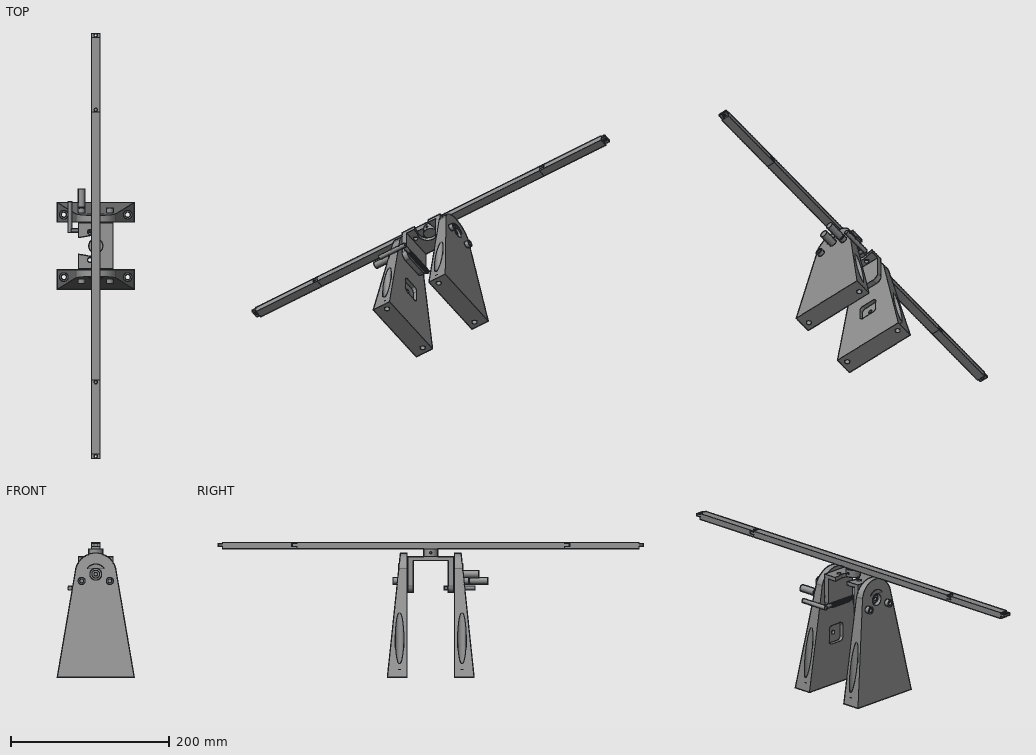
import cadquery as cq
import math

BASE_WIDTH = 97.7
BASE_INNER_Y = 30.0
BASE_OUTER_Y = 55.0
OUTER_SLOPE = 6.0
PIVOT_Z = 130.5
STAND_TOP_Z = 157.3
SHOULDER_X = 25.3
SHOULDER_Z = 138.0

PIVOT_BOSS_DIA = 25.9
PIVOT_BOSS_FACE_Y = 40.5
AXLE_DIA = 9.9
RECESS_DIA = 15.0
RECESS_FLOOR_Y = 35.5

STUD_DIA = 9.0
STUD_X = 17.8
STUD_Z = 122.0
STUD_END_Y = 47.8
STUD_BORE_DIA = 5.0

MOUNT_X = 40.4
MOUNT_Y = 39.5
MOUNT_BORE_DIA = 11.0
MOUNT_HOLE_DIA = 6.5
MOUNT_FLOOR_Z = 10.0

POCKET_SIZE = 25.0
POCKET_Z = 67.0
POCKET_DEPTH = 5.0
POCKET_CORNER = 5.0
POCKET_HOLE_DIA = 5.1
POCKET_HOLE_DEPTH = 5.0

YOKE_WIDTH = 43.8
YOKE_OUTER_Y = 29.0
YOKE_INNER_Y = 22.0
YOKE_TOP_Z = 152.8
YOKE_PLATE = 5.0
YOKE_BOTTOM_Z = 107.4
YOKE_LEG_CORNER = 8.0
AXLE_LONG_END_Y = 60.8
AXLE_SHORT_END_Y = -38.5
AXLE_SOCKET_DIA = 4.5
AXLE_SOCKET_DEPTH = 4.0
NOTCH_DIA = 25.9
NOTCH_X = -7.5
NOTCH_MOUTH = 20.8
NOTCH_LIP_X = -16.5
NOTCH_LIP_Y = 11.2
YOKE_HOLE_DIA = 5.6
YOKE_HOLE_Y = 17.8

BAR_LENGTH = 538.1
BAR_WIDTH = 11.0
BAR_HEIGHT = 8.0
BAR_TOP_Z = 170.64
BAR_BOTTOM_Z = BAR_TOP_Z - BAR_HEIGHT
JOINT_Y = 169.5
TONGUE_LENGTH = 5.5
TONGUE_HEIGHT = 3.2
TONGUE_COVER = 1.6
TONGUE_TOP_Z = BAR_TOP_Z - TONGUE_COVER
TONGUE_BOTTOM_Z = TONGUE_TOP_Z - TONGUE_HEIGHT
TONGUE_HOLE_DIA = 4.0
TONGUE_HOLE_OFFSET = 2.8
SLOT_DEPTH = 6.5
HUB_DIA = 18.0
HUB_CROSS_HOLE_DIA = 2.5

GRIP_DIA = 5.6
GRIP_X = -32.6
GRIP_START_Y = 16.8
GRIP_END_Y = 56.0
SHANK_DIA = 5.0
SHANK_Y = YOKE_INNER_Y - SHANK_DIA / 2
SHANK_Z = 113.0
SHANK_END_X = YOKE_WIDTH / 2
GROOVE_START_X = -20.0
GROOVE_PITCH = 3.0
GROOVE_WIDTH = 1.0
GROOVE_ROOT_DIA = 4.0
GROOVE_COUNT = 14

LOCK_HEAD_DIA = STUD_DIA
LOCK_HEAD_START_Y = 49.2
LOCK_HEAD_END_Y = 72.2


def cylinder_y(x, z, start_y, end_y, diameter):
    """Cylinder along +Y from start_y to end_y."""
    axis = cq.Vector(0, 1, 0)
    solid = cq.Solid.makeCylinder(diameter / 2, end_y - start_y, cq.Vector(x, start_y, z), axis)
    return cq.Workplane(obj=solid)


def cylinder_z(x, y, bottom_z, top_z, diameter):
    """Cylinder along +Z from bottom_z to top_z."""
    axis = cq.Vector(0, 0, 1)
    solid = cq.Solid.makeCylinder(diameter / 2, top_z - bottom_z, cq.Vector(x, y, bottom_z), axis)
    return cq.Workplane(obj=solid)


def cylinder_x(y, z, start_x, end_x, diameter):
    """Cylinder along +X from start_x to end_x."""
    axis = cq.Vector(1, 0, 0)
    solid = cq.Solid.makeCylinder(diameter / 2, end_x - start_x, cq.Vector(start_x, y, z), axis)
    return cq.Workplane(obj=solid)


def block(width, start_y, end_y, bottom_z, top_z):
    """Box centred on X = 0 between the given Y and Z limits."""
    size = (width, end_y - start_y, top_z - bottom_z)
    centre = (0, (start_y + end_y) / 2, (bottom_z + top_z) / 2)
    return cq.Workplane("XY").box(*size).translate(centre)


def stand_blank():
    """Upright with straight tapered sides, a round crown and a leaning outer face."""
    half_base = BASE_WIDTH / 2
    front = (
        cq.Workplane("XZ", origin=(0, BASE_INNER_Y, 0))
        .moveTo(-half_base, 0)
        .lineTo(half_base, 0)
        .lineTo(SHOULDER_X, SHOULDER_Z)
        .threePointArc((0, STAND_TOP_Z), (-SHOULDER_X, SHOULDER_Z))
        .close()
        .extrude(BASE_INNER_Y - BASE_OUTER_Y)
    )
    outer_y_at_top = BASE_OUTER_Y - STAND_TOP_Z * math.tan(math.radians(OUTER_SLOPE))
    side = (
        cq.Workplane("YZ")
        .moveTo(BASE_INNER_Y, 0)
        .lineTo(BASE_OUTER_Y, 0)
        .lineTo(outer_y_at_top, STAND_TOP_Z)
        .lineTo(BASE_INNER_Y, STAND_TOP_Z)
        .close()
        .extrude(half_base, both=True)
    )
    return front.intersect(side)


def inner_pocket():
    """Rounded square pocket in the inner face with a blind hole in its floor."""
    floor_y = BASE_INNER_Y + POCKET_DEPTH
    half = POCKET_SIZE / 2
    pocket = block(POCKET_SIZE, BASE_INNER_Y, floor_y, POCKET_Z - half, POCKET_Z + half)
    pocket = pocket.edges("|Y").fillet(POCKET_CORNER)
    hole = cylinder_y(0, POCKET_Z, BASE_INNER_Y, floor_y + POCKET_HOLE_DEPTH, POCKET_HOLE_DIA)
    return pocket.union(hole)


def make_stand(recessed):
    """Stand on the +Y side; a recessed one hides its axle end in a counterbore."""
    body = stand_blank()
    body = body.union(cylinder_y(0, PIVOT_Z, BASE_INNER_Y, PIVOT_BOSS_FACE_Y, PIVOT_BOSS_DIA))
    for x in (-STUD_X, STUD_X):
        body = body.union(cylinder_y(x, STUD_Z, BASE_INNER_Y, STUD_END_Y, STUD_DIA))
        body = body.cut(cylinder_y(x, STUD_Z, BASE_INNER_Y, STUD_END_Y, STUD_BORE_DIA))
    for x in (-MOUNT_X, MOUNT_X):
        body = body.cut(cylinder_z(x, MOUNT_Y, 0, MOUNT_FLOOR_Z, MOUNT_HOLE_DIA))
        body = body.cut(cylinder_z(x, MOUNT_Y, MOUNT_FLOOR_Z, STAND_TOP_Z, MOUNT_BORE_DIA))
    body = body.cut(inner_pocket())
    body = body.cut(cylinder_y(0, PIVOT_Z, BASE_INNER_Y, BASE_OUTER_Y, AXLE_DIA))
    if recessed:
        body = body.cut(cylinder_y(0, PIVOT_Z, RECESS_FLOOR_Y, BASE_OUTER_Y, RECESS_DIA))
    return body


def notch_cutter():
    """Round opening that breaks out through a flared mouth in the -X edge."""
    edge_x = -YOKE_WIDTH / 2
    half_mouth = NOTCH_MOUTH / 2
    radius = NOTCH_DIA / 2
    return (
        cq.Workplane("XY", origin=(0, 0, YOKE_TOP_Z - YOKE_PLATE))
        .moveTo(edge_x, half_mouth)
        .threePointArc((NOTCH_LIP_X, NOTCH_LIP_Y), (NOTCH_X, radius))
        .threePointArc((NOTCH_X + radius, 0), (NOTCH_X, -radius))
        .threePointArc((NOTCH_LIP_X, -NOTCH_LIP_Y), (edge_x, -half_mouth))
        .close()
        .extrude(YOKE_PLATE)
    )


def make_yoke():
    """U bracket with notched top plate and an axle on the outside of each leg."""
    plate_bottom_z = YOKE_TOP_Z - YOKE_PLATE
    body = block(YOKE_WIDTH, -YOKE_OUTER_Y, YOKE_OUTER_Y, YOKE_BOTTOM_Z, YOKE_TOP_Z)
    body = body.edges("|Y and <Z").fillet(YOKE_LEG_CORNER)
    body = body.cut(block(YOKE_WIDTH, -YOKE_INNER_Y, YOKE_INNER_Y, YOKE_BOTTOM_Z, plate_bottom_z))
    body = body.cut(notch_cutter())
    for y in (-YOKE_HOLE_Y, YOKE_HOLE_Y):
        body = body.cut(cylinder_z(NOTCH_X, y, plate_bottom_z, YOKE_TOP_Z, YOKE_HOLE_DIA))
    body = body.union(cylinder_y(0, PIVOT_Z, YOKE_INNER_Y, AXLE_LONG_END_Y, AXLE_DIA))
    body = body.union(cylinder_y(0, PIVOT_Z, AXLE_SHORT_END_Y, -YOKE_INNER_Y, AXLE_DIA))
    socket_end_y = AXLE_SHORT_END_Y + AXLE_SOCKET_DEPTH
    return body.cut(cylinder_y(0, PIVOT_Z, AXLE_SHORT_END_Y, socket_end_y, AXLE_SOCKET_DIA))


def tongue(shoulder_y):
    """Pinned tongue that extends along +Y from a segment's shoulder."""
    tip_y = shoulder_y + TONGUE_LENGTH
    hole_y = shoulder_y + TONGUE_HOLE_OFFSET
    body = block(BAR_WIDTH, shoulder_y, tip_y, TONGUE_BOTTOM_Z, TONGUE_TOP_Z)
    return body.cut(cylinder_z(0, hole_y, TONGUE_BOTTOM_Z, TONGUE_TOP_Z, TONGUE_HOLE_DIA))


def make_middle_bar():
    """Middle segment with a tongue at both ends and the hub underneath."""
    body = block(BAR_WIDTH, -JOINT_Y, JOINT_Y, BAR_BOTTOM_Z, BAR_TOP_Z)
    body = body.union(tongue(JOINT_Y))
    body = body.union(tongue(JOINT_Y).mirror("XZ"))
    body = body.union(cylinder_z(0, 0, YOKE_TOP_Z, BAR_BOTTOM_Z, HUB_DIA))
    cross_hole_z = (YOKE_TOP_Z + BAR_BOTTOM_Z) / 2
    return body.cut(cylinder_x(0, cross_hole_z, -HUB_DIA / 2, HUB_DIA / 2, HUB_CROSS_HOLE_DIA))


def make_end_bar():
    """+Y end segment: slot for the middle tongue, and a free tongue at its tip."""
    shoulder_y = BAR_LENGTH / 2 - TONGUE_LENGTH
    hole_y = JOINT_Y + TONGUE_HOLE_OFFSET
    body = block(BAR_WIDTH, JOINT_Y, shoulder_y, BAR_BOTTOM_Z, BAR_TOP_Z)
    body = body.cut(block(BAR_WIDTH, JOINT_Y, JOINT_Y + SLOT_DEPTH, TONGUE_BOTTOM_Z, TONGUE_TOP_Z))
    body = body.cut(cylinder_z(0, hole_y, TONGUE_TOP_Z, BAR_TOP_Z, TONGUE_HOLE_DIA))
    return body.union(tongue(shoulder_y))


def groove_cutter(start_x):
    """Ring that leaves only the root diameter of the shank over one groove."""
    end_x = start_x + GROOVE_WIDTH
    ring = cylinder_x(SHANK_Y, SHANK_Z, start_x, end_x, SHANK_DIA)
    return ring.cut(cylinder_x(SHANK_Y, SHANK_Z, start_x, end_x, GROOVE_ROOT_DIA))


def make_handle():
    """Grip along Y with a ring-grooved shank along X that lies against the +Y yoke leg."""
    shank = cylinder_x(SHANK_Y, SHANK_Z, GRIP_X, SHANK_END_X, SHANK_DIA)
    for index in range(GROOVE_COUNT):
        shank = shank.cut(groove_cutter(GROOVE_START_X + index * GROOVE_PITCH))
    return shank.union(cylinder_y(GRIP_X, SHANK_Z, GRIP_START_Y, GRIP_END_Y, GRIP_DIA))


def make_lock_pin():
    """Headed pin whose shank fills the bore of the stud at -X."""
    head = cylinder_y(-STUD_X, STUD_Z, LOCK_HEAD_START_Y, LOCK_HEAD_END_Y, LOCK_HEAD_DIA)
    return head.union(cylinder_y(-STUD_X, STUD_Z, BASE_INNER_Y, LOCK_HEAD_START_Y, STUD_BORE_DIA))


rear_stand = make_stand(recessed=False)
front_stand = make_stand(recessed=True).mirror("XZ")
yoke = make_yoke()
middle_bar = make_middle_bar()
rear_end_bar = make_end_bar()
front_end_bar = make_end_bar().mirror("XZ")
handle = make_handle()
lock_pin = make_lock_pin()

result = cq.Compound.makeCompound([
    rear_stand.solids().val(),
    front_stand.solids().val(),
    yoke.solids().val(),
    middle_bar.solids().val(),
    rear_end_bar.solids().val(),
    front_end_bar.solids().val(),
    handle.solids().val(),
    lock_pin.solids().val(),
])